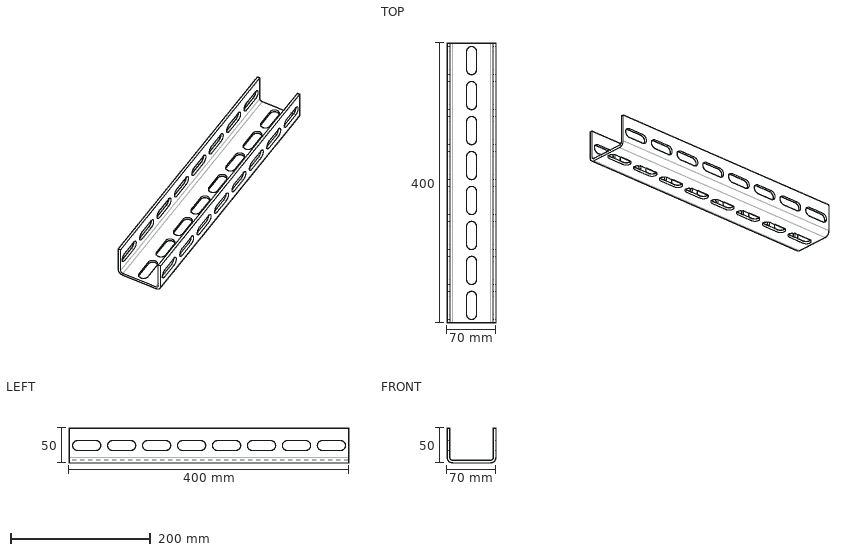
import cadquery as cq

length = 400.0
width = 70.0
height = 50.0
wall = 4.0
inner_radius = 4.0
outer_radius = inner_radius + wall

slot_count = 8
slot_pitch = length / slot_count
slot_length = 40.0
slot_width = 14.0
side_slot_height = height / 2


def channel():
    """U channel along Y, open at the top, bent with a constant wall thickness."""
    outer = cq.Workplane("XY").box(width, length, height, centered=(True, True, False))
    outer = outer.edges("|Y and <Z").fillet(outer_radius)
    cavity = (
        cq.Workplane("XY")
        .workplane(offset=wall)
        .box(width - 2 * wall, length, height, centered=(True, True, False))
        .edges("|Y and <Z")
        .fillet(inner_radius)
    )
    return outer.cut(cavity)


def base_slots():
    """Row of slots down the middle of the base."""
    return (
        cq.Workplane("XY")
        .rarray(1, slot_pitch, 1, slot_count)
        .slot2D(slot_length, slot_width, 90)
        .extrude(wall)
    )


def side_slots():
    """Row of slots passing through both side walls."""
    return (
        cq.Workplane("YZ", origin=(0, 0, side_slot_height))
        .rarray(slot_pitch, 1, slot_count, 1)
        .slot2D(slot_length, slot_width)
        .extrude(width / 2, both=True)
    )


result = channel().cut(base_slots()).cut(side_slots())